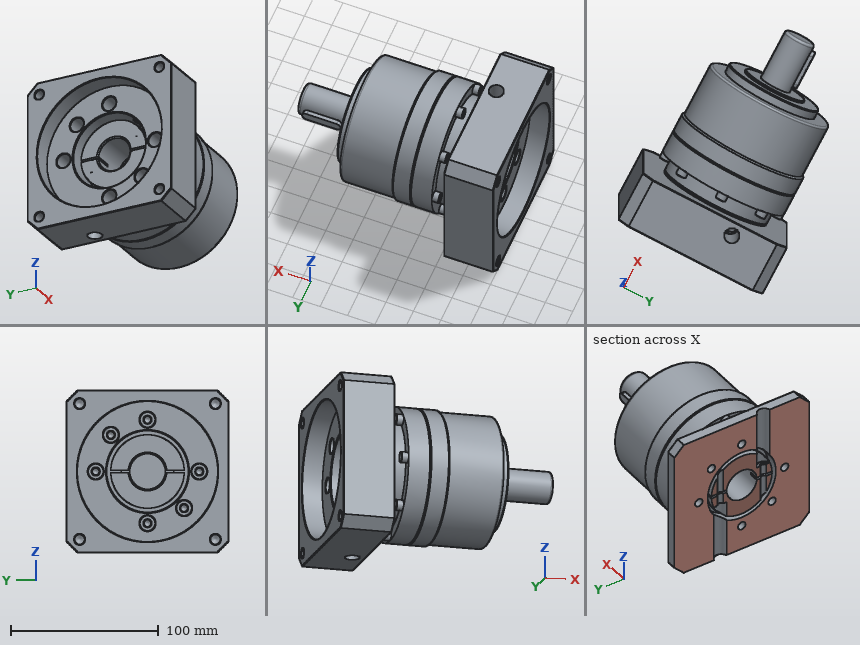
import cadquery as cq
import math


FLANGE_SIDE = 110.0
FLANGE_END = 36.1
FLANGE_CORNER = 7.7
FLANGE_EDGE = 0.5
PILOT_RADIUS = 47.5
PILOT_DEPTH = 14.5
PILOT_EDGE = 0.5
HUB_BORE_RADIUS = 27.6
HUB_BORE_EDGE = 0.6
COLLAR_RADIUS = 39.0
JOINT = 37.2

MOTOR_HOLE_OFFSET = 45.9
MOTOR_HOLE_RADIUS = 3.4
MOTOR_HOLE_DEPTH = 19.3
MOTOR_HOLE_EDGE = 0.5

SCREW_CIRCLE_RADIUS = 35.0
SCREW_ANGLES = (0, 45, 90, 180, 225, 270)
COUNTERBORE_RADIUS = 5.1
COUNTERBORE_EDGE = 0.5
COUNTERBORE_FLOOR = 28.1
CLEARANCE_RADIUS = 2.9
THREAD_RADIUS = 2.4
THREAD_DEPTH = 9.6
DRILL_POINT_ANGLE = 118

HUB_START = 21.0
HUB_RADIUS = 24.9
HUB_HEAD_LENGTH = 12.0
HUB_NECK_RADIUS = 17.7
HUB_NECK_END = 56.2
HUB_HOLE_RADIUS = 12.0
HUB_HOLE_END = 51.4
HUB_HOLE_EDGE = 1.0
SLOT_WIDTH = 1.5
SLOT_END = 35.3

CLAMP_STATION = 27.0
CLAMP_OFFSET = 17.5
ACCESS_RADIUS = 5.1
CLAMP_SEAT_HEIGHT = 9.6
CLAMP_HOLE_RADIUS = 2.5
CLAMP_HOLE_EDGE = 0.8

HOUSING_START = 48.3
HOUSING_RADIUS = 46.4
GROOVE_CENTRE = 63.9
GROOVE_DEPTH = 0.6
STEP_START = 76.4
BARREL_RADIUS = 45.1
BARREL_END = 116.0
BARREL_ROUND = 1.5
BOSS_RADIUS = 34.0
BOSS_END = 122.3
BOSS_EDGE = 0.8
BOSS_EDGE_DROP = 0.5
SEAL_RADIUS = 22.6
SEAL_END = 123.7
SEAL_EDGE = 0.5
COLLAR_EDGE = 0.5

BOLT_COUNT = 8
BOLT_HEAD_RADIUS = 3.7
BOLT_HEAD_HEIGHT = 4.8
BOLT_HEAD_EDGE = 0.3
BOLT_CIRCLE_RADIUS = HOUSING_RADIUS - BOLT_HEAD_RADIUS

SHAFT_RADIUS = 11.0
SHAFT_END = 160.5
SHAFT_ROUND = 2.0
KEY_START = 127.9
KEY_LENGTH = 28.1
KEY_WIDTH = 6.5
KEY_TOP = 13.8
KEY_HEIGHT = 6.0


def cylinder(start, end, radius, y=0, z=0):
    """Cylinder along X between two stations."""
    return cq.Workplane("YZ", origin=(start, y, z)).circle(radius).extrude(end - start)


def cone(start, length, start_radius, end_radius, y=0, z=0):
    """Cone frustum along X."""
    solid = cq.Solid.makeCone(start_radius, end_radius, length, cq.Vector(start, y, z), cq.Vector(1, 0, 0))
    return cq.Workplane(solid)


def edged_hole(start, end, radius, edge, y=0, z=0):
    """Cutter for a hole along X with a chamfered mouth at its start."""
    return cylinder(start, end, radius, y, z).union(cone(start, edge, radius + edge, radius, y, z))


def drill_point(start, radius, y, z):
    """Cutter for the pointed bottom of a drilled hole."""
    length = radius / math.tan(math.radians(DRILL_POINT_ANGLE / 2))
    return cone(start, length, radius, 0, y, z)


def circle_points(radius, angles):
    """(y, z) points on a circle about the axis, with the angles measured from +Y."""
    return [(radius * math.cos(math.radians(a)), radius * math.sin(math.radians(a))) for a in angles]


SCREW_POINTS = circle_points(SCREW_CIRCLE_RADIUS, SCREW_ANGLES)


def make_flange():
    """Square motor flange with its pilot recess, bore and screw holes."""
    plate = (
        cq.Workplane("YZ")
        .rect(FLANGE_SIDE, FLANGE_SIDE)
        .extrude(FLANGE_END)
        .edges("|X")
        .chamfer(FLANGE_CORNER)
        .faces("<X or >X")
        .edges()
        .chamfer(FLANGE_EDGE)
    )
    flange = plate.union(cylinder(FLANGE_END, JOINT, COLLAR_RADIUS))
    flange = flange.cut(edged_hole(0, PILOT_DEPTH, PILOT_RADIUS, PILOT_EDGE))
    flange = flange.cut(edged_hole(PILOT_DEPTH, JOINT, HUB_BORE_RADIUS, HUB_BORE_EDGE))

    for y in (-MOTOR_HOLE_OFFSET, MOTOR_HOLE_OFFSET):
        for z in (-MOTOR_HOLE_OFFSET, MOTOR_HOLE_OFFSET):
            flange = flange.cut(edged_hole(0, MOTOR_HOLE_DEPTH, MOTOR_HOLE_RADIUS, MOTOR_HOLE_EDGE, y, z))
            flange = flange.cut(drill_point(MOTOR_HOLE_DEPTH, MOTOR_HOLE_RADIUS, y, z))

    for y, z in SCREW_POINTS:
        flange = flange.cut(
            edged_hole(PILOT_DEPTH, COUNTERBORE_FLOOR, COUNTERBORE_RADIUS, COUNTERBORE_EDGE, y, z)
        )
        flange = flange.cut(cylinder(COUNTERBORE_FLOOR, JOINT, CLEARANCE_RADIUS, y, z))

    access = (
        cq.Workplane("XY")
        .center(CLAMP_STATION, -CLAMP_OFFSET)
        .circle(ACCESS_RADIUS)
        .extrude(FLANGE_SIDE / 2)
    )
    for angle in (0, 180):
        flange = flange.cut(access.rotate((0, 0, 0), (1, 0, 0), angle))
    return flange


def make_hub():
    """Slotted clamping hub with a neck that sits in the gearbox."""
    head_end = HUB_START + HUB_HEAD_LENGTH
    hub = cylinder(HUB_START, head_end, HUB_RADIUS)
    hub = hub.union(cylinder(head_end, HUB_NECK_END, HUB_NECK_RADIUS))
    hub = hub.cut(edged_hole(HUB_START, HUB_HOLE_END, HUB_HOLE_RADIUS, HUB_HOLE_EDGE))
    slot = cq.Workplane("XY").box(SLOT_END - HUB_START, 2 * HUB_RADIUS, SLOT_WIDTH, centered=(False, True, True))
    hub = hub.cut(slot.translate((HUB_START, 0, 0)))

    seat = cq.Workplane("XY", origin=(CLAMP_STATION, -CLAMP_OFFSET, CLAMP_SEAT_HEIGHT))
    clamp = (
        seat.circle(ACCESS_RADIUS)
        .extrude(HUB_RADIUS)
        .union(seat.circle(CLAMP_HOLE_RADIUS).extrude(-2 * HUB_RADIUS))
        .union(
            seat.circle(CLAMP_HOLE_RADIUS + CLAMP_HOLE_EDGE)
            .workplane(offset=-CLAMP_HOLE_EDGE)
            .circle(CLAMP_HOLE_RADIUS)
            .loft()
        )
    )
    for angle in (0, 180):
        hub = hub.cut(clamp.rotate((0, 0, 0), (1, 0, 0), angle))
    return hub


def make_key():
    """Round-ended key on the +Y side of the output shaft."""
    return (
        cq.Workplane("XZ", origin=(KEY_START + KEY_LENGTH / 2, KEY_TOP, 0))
        .slot2D(KEY_LENGTH, KEY_WIDTH)
        .extrude(KEY_HEIGHT)
    )


def make_gearbox(hub_neck, key):
    """Turned housing and output shaft, with the bolt heads and the seats of the neck and key."""
    profile = (
        cq.Workplane("XY")
        .moveTo(JOINT, 0)
        .lineTo(JOINT, COLLAR_RADIUS - COLLAR_EDGE)
        .lineTo(JOINT + COLLAR_EDGE, COLLAR_RADIUS)
        .lineTo(HOUSING_START, COLLAR_RADIUS)
        .lineTo(HOUSING_START, HOUSING_RADIUS)
        .lineTo(GROOVE_CENTRE - GROOVE_DEPTH, HOUSING_RADIUS)
        .lineTo(GROOVE_CENTRE, HOUSING_RADIUS - GROOVE_DEPTH)
        .lineTo(GROOVE_CENTRE + GROOVE_DEPTH, HOUSING_RADIUS)
        .lineTo(STEP_START, HOUSING_RADIUS)
        .lineTo(STEP_START + HOUSING_RADIUS - BARREL_RADIUS, BARREL_RADIUS)
        .lineTo(BARREL_END - BARREL_ROUND, BARREL_RADIUS)
        .radiusArc((BARREL_END, BARREL_RADIUS - BARREL_ROUND), BARREL_ROUND)
        .lineTo(BARREL_END, BOSS_RADIUS)
        .lineTo(BOSS_END - BOSS_EDGE, BOSS_RADIUS)
        .lineTo(BOSS_END, BOSS_RADIUS - BOSS_EDGE_DROP)
        .lineTo(BOSS_END, SEAL_RADIUS)
        .lineTo(SEAL_END - SEAL_EDGE, SEAL_RADIUS)
        .lineTo(SEAL_END, SEAL_RADIUS - SEAL_EDGE)
        .lineTo(SEAL_END, SHAFT_RADIUS)
        .lineTo(SHAFT_END - SHAFT_ROUND, SHAFT_RADIUS)
        .radiusArc((SHAFT_END, SHAFT_RADIUS - SHAFT_ROUND), SHAFT_ROUND)
        .lineTo(SHAFT_END, 0)
        .close()
    )
    gearbox = profile.revolve(360, (0, 0, 0), (1, 0, 0))

    bolt_angles = [360 / BOLT_COUNT * i for i in range(BOLT_COUNT)]
    for y, z in circle_points(BOLT_CIRCLE_RADIUS, bolt_angles):
        head = cylinder(HOUSING_START - BOLT_HEAD_HEIGHT, HOUSING_START, BOLT_HEAD_RADIUS, y, z)
        gearbox = gearbox.union(head.faces("<X").edges().chamfer(BOLT_HEAD_EDGE))

    for y, z in SCREW_POINTS:
        gearbox = gearbox.cut(cylinder(JOINT, JOINT + THREAD_DEPTH, THREAD_RADIUS, y, z))
        gearbox = gearbox.cut(drill_point(JOINT + THREAD_DEPTH, THREAD_RADIUS, y, z))
    return gearbox.cut(hub_neck).cut(key)


flange = make_flange()
hub = make_hub()
key = make_key()
gearbox = make_gearbox(cylinder(JOINT, HUB_NECK_END, HUB_NECK_RADIUS), key)

result = cq.Compound.makeCompound([flange.val(), hub.val(), key.val(), gearbox.val()])